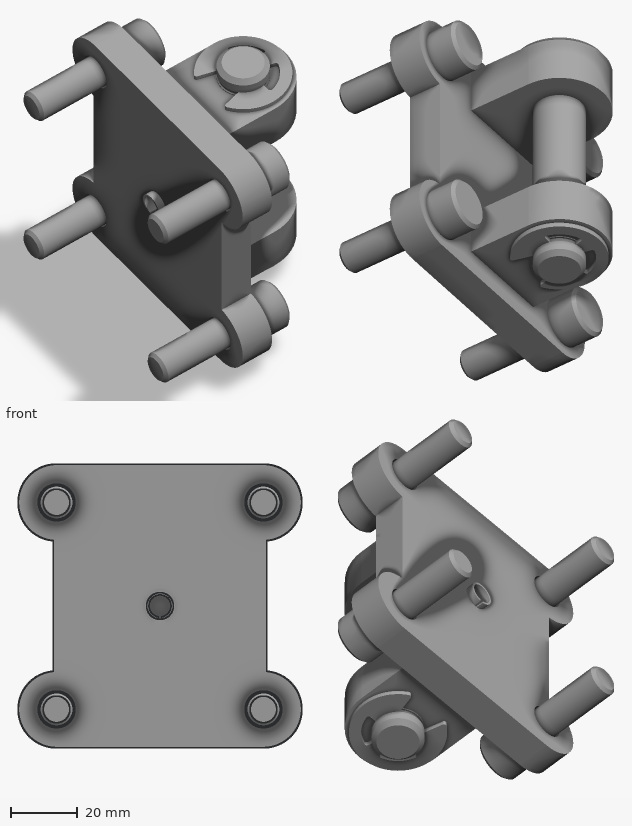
import cadquery as cq
import math

plate_size = 85.0
plate_thickness = 11.0
plate_waist = 64.0
screw_pitch = 62.0
screw_hole_diameter = 11.0
ear_radius = (plate_size - screw_pitch) / 2

lug_width = 32.0
lug_thickness = 15.0
lug_gap = 40.0
lug_axis_y = 21.1
lug_outer_z = lug_gap / 2 + lug_thickness

pin_diameter = 16.0
pin_length = 83.0
pin_chamfer = 1.5
groove_diameter = 15.0

clip_diameter = 29.5
clip_thickness = 1.5
clip_clearance = 0.3
clip_bottom_z = lug_outer_z + clip_clearance
window_radius = 11.05
window_base_y = 1.95
clip_edge_angle = math.radians(15)
mouth_half_width = 5.5
mouth_throat_y = 6.2
clip_corner_radius = 0.8

shank_diameter = 10.0
shank_projection = 24.0
shank_chamfer = 1.0
head_diameter = 16.0
head_height = 10.0
head_chamfer = 1.0

spring_pin_diameter = 8.0
spring_pin_bore = 6.6
spring_pin_projection = 2.5
spring_pin_depth = 6.8
spring_pin_slit = 1.0

screw_positions = [
    (x_side * screw_pitch / 2, z_side * screw_pitch / 2)
    for x_side in (-1, 1)
    for z_side in (-1, 1)
]


def cylinder_y(diameter, y_start, y_end, x=0, z=0):
    """Cylinder along Y between two y values."""
    return (
        cq.Workplane("XZ", origin=(x, y_end, z))
        .circle(diameter / 2)
        .extrude(y_end - y_start)
    )


def cylinder_z(diameter, z_start, z_end):
    """Cylinder along the hinge axis between two z values."""
    return (
        cq.Workplane("XY", origin=(0, lug_axis_y, z_start))
        .circle(diameter / 2)
        .extrude(z_end - z_start)
    )


def make_plate():
    """Square plate with a round ear at each corner and waisted sides between the ears."""
    half_size = plate_size / 2
    half_waist = plate_waist / 2
    ear_centre = screw_pitch / 2
    waist_end = ear_centre - math.sqrt(ear_radius**2 - (half_waist - ear_centre) ** 2)
    return (
        cq.Workplane("XZ")
        .moveTo(-ear_centre, half_size)
        .lineTo(ear_centre, half_size)
        .threePointArc((half_size, ear_centre), (half_waist, waist_end))
        .lineTo(half_waist, -waist_end)
        .threePointArc((half_size, -ear_centre), (ear_centre, -half_size))
        .lineTo(-ear_centre, -half_size)
        .threePointArc((-half_size, -ear_centre), (-half_waist, -waist_end))
        .lineTo(-half_waist, waist_end)
        .threePointArc((-half_size, ear_centre), (-ear_centre, half_size))
        .close()
        .extrude(plate_thickness)
    )


def make_lug(z_start):
    """Round-ended lug reaching back from the plate."""
    half_width = lug_width / 2
    return (
        cq.Workplane("XY", origin=(0, 0, z_start))
        .moveTo(-half_width, 0)
        .lineTo(half_width, 0)
        .lineTo(half_width, lug_axis_y)
        .threePointArc((0, lug_axis_y + half_width), (-half_width, lug_axis_y))
        .close()
        .extrude(lug_thickness)
    )


def make_bracket():
    """Plate and two lugs in one piece, with the screw, hinge and spring pin holes."""
    bracket = make_plate().union(make_lug(lug_gap / 2)).union(make_lug(-lug_outer_z))
    for x, z in screw_positions:
        bracket = bracket.cut(cylinder_y(screw_hole_diameter, -plate_thickness, 0, x, z))
    bracket = bracket.cut(cylinder_z(pin_diameter, -lug_outer_z, lug_outer_z))
    return bracket.cut(
        cylinder_y(spring_pin_diameter, -plate_thickness, spring_pin_depth - plate_thickness)
    )


def make_hinge_pin():
    """Chamfered pin with a clip groove near each end."""
    pin = cylinder_z(pin_diameter, -pin_length / 2, pin_length / 2).faces("|Z").chamfer(pin_chamfer)
    clip_top_z = clip_bottom_z + clip_thickness
    for z_start in (clip_bottom_z, -clip_top_z):
        z_end = z_start + clip_thickness
        groove = cylinder_z(pin_diameter, z_start, z_end).cut(cylinder_z(groove_diameter, z_start, z_end))
        pin = pin.cut(groove)
    return pin


def clip_window():
    """Opening on the +X side, between the top lobe and the side lobe."""
    base_x = math.sqrt(window_radius**2 - window_base_y**2)
    base_angle = math.asin(window_base_y / window_radius)
    top_angle = math.pi / 2 - clip_edge_angle
    mid_angle = (base_angle + top_angle) / 2
    return (
        cq.Workplane("XY")
        .moveTo(window_base_y * math.tan(clip_edge_angle), window_base_y)
        .lineTo(base_x, window_base_y)
        .threePointArc(
            (window_radius * math.cos(mid_angle), window_radius * math.sin(mid_angle)),
            (window_radius * math.cos(top_angle), window_radius * math.sin(top_angle)),
        )
        .close()
        .extrude(clip_thickness)
        .edges("|Z")
        .fillet(clip_corner_radius)
    )


def clip_mouth():
    """Flared opening on the plate side of the clip."""
    tip_y = clip_diameter / 2
    slope = math.tan(clip_edge_angle)
    tip_half_width = mouth_half_width + (tip_y - mouth_throat_y) * slope
    centre_half_width = mouth_half_width - mouth_throat_y * slope
    return (
        cq.Workplane("XY")
        .polyline([
            (-centre_half_width, 0),
            (centre_half_width, 0),
            (tip_half_width, -tip_y),
            (-tip_half_width, -tip_y),
        ])
        .close()
        .extrude(clip_thickness)
    )


def make_clip(z_start):
    """E-shaped retaining clip seated in a pin groove."""
    clip = (
        cq.Workplane("XY")
        .circle(clip_diameter / 2)
        .extrude(clip_thickness)
        .cut(clip_mouth())
        .edges("|Z and <Y")
        .fillet(clip_corner_radius)
    )
    clip = clip.cut(cq.Workplane("XY").circle(groove_diameter / 2).extrude(clip_thickness))
    window = clip_window()
    clip = clip.cut(window).cut(window.mirror("YZ"))
    return clip.translate((0, lug_axis_y, z_start))


def make_screw(x, z):
    """Cap screw: head against the plate back, shank through the plate."""
    head = cylinder_y(head_diameter, 0, head_height, x, z).faces(">Y").chamfer(head_chamfer)
    shank = cylinder_y(shank_diameter, -plate_thickness - shank_projection, 0, x, z)
    return head.union(shank.faces("<Y").chamfer(shank_chamfer))


def make_spring_pin():
    """Hollow pin slit along its lower side."""
    y_start = -plate_thickness - spring_pin_projection
    y_end = -plate_thickness + spring_pin_depth
    tube = cylinder_y(spring_pin_diameter, y_start, y_end).cut(cylinder_y(spring_pin_bore, y_start, y_end))
    slit = cq.Workplane("XY").box(
        spring_pin_slit, y_end - y_start, spring_pin_diameter / 2, centered=(True, False, False)
    )
    return tube.cut(slit.translate((0, y_start, -spring_pin_diameter / 2)))


bracket = make_bracket()
hinge_pin = make_hinge_pin()
clips = [make_clip(z_start) for z_start in (clip_bottom_z, -clip_bottom_z - clip_thickness)]
screws = [make_screw(x, z) for x, z in screw_positions]
spring_pin = make_spring_pin()

result = cq.Compound.makeCompound([
    bracket.val(),
    hinge_pin.val(),
    *[clip.val() for clip in clips],
    *[screw.val() for screw in screws],
    spring_pin.val(),
])